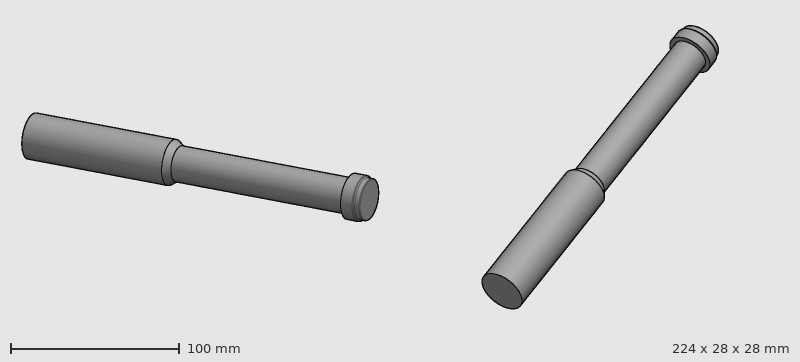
import cadquery as cq

total_length = 224.0
body_diameter = 28.0
shank_diameter = 22.0
tip_diameter = 25.5

body_length = 93.0
taper_length = 4.7
head_length = 8.0
tip_length = 4.0
edge_radius = 0.5
root_radius = 0.7

body_start = -total_length / 2
body_end = body_start + body_length
taper_end = body_end + taper_length
tip_end = total_length / 2
head_end = tip_end - tip_length
head_start = head_end - head_length

body_radius = body_diameter / 2
shank_radius = shank_diameter / 2
tip_radius = tip_diameter / 2

half_section = (
    cq.Workplane("XZ")
    .moveTo(body_start, 0)
    .lineTo(body_start, body_radius)
    .lineTo(body_end, body_radius)
    .lineTo(taper_end, shank_radius)
    .lineTo(head_start, shank_radius)
    .lineTo(head_start, body_radius)
    .lineTo(head_end - edge_radius, body_radius)
    .radiusArc((head_end, body_radius - edge_radius), edge_radius)
    .lineTo(head_end, tip_radius + root_radius)
    .radiusArc((head_end + root_radius, tip_radius), -root_radius)
    .lineTo(tip_end - edge_radius, tip_radius)
    .radiusArc((tip_end, tip_radius - edge_radius), edge_radius)
    .lineTo(tip_end, 0)
    .close()
)

result = half_section.revolve(360, (0, 0, 0), (1, 0, 0))